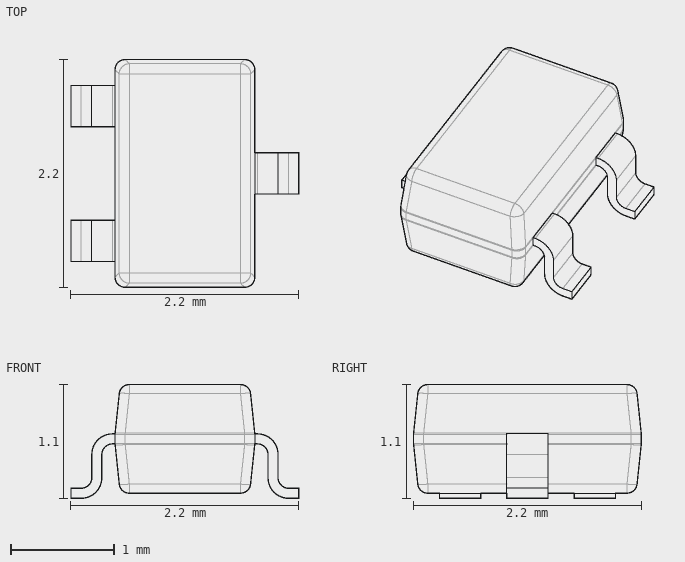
import cadquery as cq

SPAN_X = 2.2
TOP_Z = 1.1

BODY_WIDTH = 1.35
BODY_LENGTH = 2.2
DRAFT_ANGLE = 6.0
BODY_FILLET = 0.1

LEAD_THICKNESS = 0.1
LEAD_WIDTH = 0.4
LEAD_PITCH = 1.3
FOOT_LENGTH = 0.1
BEND_OUTER_RADIUS = 0.2
BEND_INNER_RADIUS = BEND_OUTER_RADIUS - LEAD_THICKNESS

STANDOFF = LEAD_THICKNESS / 2

MID_Z = (STANDOFF + TOP_Z) / 2
BAND_BOTTOM_Z = MID_Z - LEAD_THICKNESS / 2
BAND_TOP_Z = MID_Z + LEAD_THICKNESS / 2
DRAFTED_HEIGHT = TOP_Z - BAND_TOP_Z

LEAD_PLACES = [
    (-LEAD_PITCH / 2, 0),
    (LEAD_PITCH / 2, 0),
    (0, 180),
]


def make_body():
    """Block tapering up and down from a vertical band, with every edge rounded."""
    band = (
        cq.Workplane("XY", origin=(0, 0, BAND_BOTTOM_Z))
        .rect(BODY_WIDTH, BODY_LENGTH)
        .extrude(LEAD_THICKNESS)
    )
    upper = (
        cq.Workplane("XY", origin=(0, 0, BAND_TOP_Z))
        .rect(BODY_WIDTH, BODY_LENGTH)
        .extrude(DRAFTED_HEIGHT, taper=DRAFT_ANGLE)
    )
    lower = upper.mirror("XY", (0, 0, MID_Z))
    return band.union(upper).union(lower).edges().fillet(BODY_FILLET).solids()


def make_lead(center_y, angle):
    """Gull-wing lead from its foot up to the side of the body, turned about Z."""
    tip_x = -SPAN_X / 2
    foot_end_x = tip_x + FOOT_LENGTH
    leg_inner_x = foot_end_x + BEND_OUTER_RADIUS
    leg_outer_x = leg_inner_x - LEAD_THICKNESS
    shoulder_x = leg_outer_x + BEND_OUTER_RADIUS
    body_x = -BODY_WIDTH / 2
    leg_bottom_z = BEND_OUTER_RADIUS
    leg_top_z = BAND_TOP_Z - BEND_OUTER_RADIUS

    profile = (
        cq.Workplane("XZ", origin=(0, center_y + LEAD_WIDTH / 2, 0))
        .moveTo(tip_x, 0)
        .lineTo(foot_end_x, 0)
        .radiusArc((leg_inner_x, leg_bottom_z), -BEND_OUTER_RADIUS)
        .lineTo(leg_inner_x, leg_top_z)
        .radiusArc((shoulder_x, BAND_BOTTOM_Z), BEND_INNER_RADIUS)
        .lineTo(body_x, BAND_BOTTOM_Z)
        .lineTo(body_x, BAND_TOP_Z)
        .lineTo(shoulder_x, BAND_TOP_Z)
        .radiusArc((leg_outer_x, leg_top_z), -BEND_OUTER_RADIUS)
        .lineTo(leg_outer_x, leg_bottom_z)
        .radiusArc((foot_end_x, LEAD_THICKNESS), BEND_INNER_RADIUS)
        .lineTo(tip_x, LEAD_THICKNESS)
        .close()
    )
    lead = profile.extrude(LEAD_WIDTH)
    return lead.rotate((0, 0, 0), (0, 0, 1), angle)


body = make_body()
leads = [make_lead(center_y, angle) for center_y, angle in LEAD_PLACES]

result = cq.Compound.makeCompound([body.val(), *[lead.val() for lead in leads]])